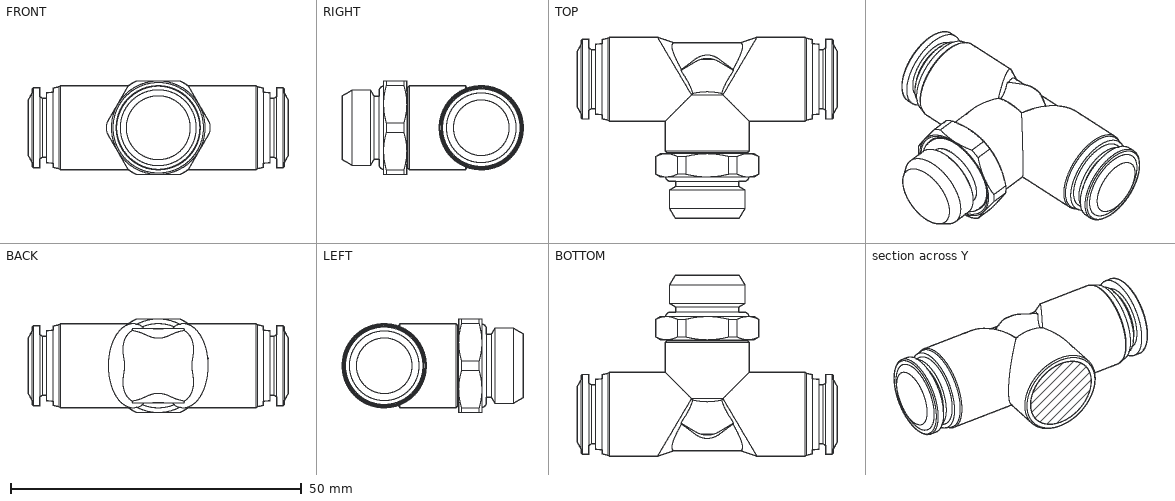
import cadquery as cq
import math

run_length = 44.75
half_run = run_length / 2
body_radius = 7.25

body_end = 16.8
body_taper_end = 17.05
body_taper_radius = 7.05
shoulder_end = 18.05
shoulder_end_radius = 6.85
ring_start_radius = 6.15
ring_end = 19.25
ring_end_radius = 6.05
groove_radius = 5.1
groove_cone_start = 19.9
flange_start = 20.35
groove_cone_radius = 5.35
flange_end = 21.7
flange_radius = 6.9
flange_edge = 0.22
nose_base_radius = 6.0
nose_tip_radius = 4.8

waist_limit_y = -2.7
wall_centre_x = 4.3
wall_slope = 0.59
wall_run = 2.25
floor_radius = 6.3
wall_drop_y = body_radius - floor_radius
wall_drop_z = 2.6
wall_inner_steps = -1.3
wall_outer_steps = 0.6
pad_height = 6.4
pad_corner_x = 4.45
pad_corner_y = 1.55
pad_slope_angle = 31.0
pad_peak_radius = 4.03
pad_depth = 2.7
pad_draft_angle = 20.0

branch_start = 2.15
branch_full = -waist_limit_y
branch_end = 12.6
branch_edge = 0.25
gap_radius = 6.25
hex_start = 12.8
hex_end = 16.8
hex_flats = 16.15
hex_corner_diameter = 17.75
hex_face_radius = 8.05
hex_chamfer_height = 0.5
hex_recess_radius = 7.8
hex_recess_floor_radius = 7.25
hex_recess_depth = 0.55
seal_centre_radius = 6.3
seal_section_radius = 0.9
seal_end = 17.6
neck_radius = 5.45
neck_end = 18.45
thread_start = 19.05
thread_radius = 6.55
thread_end = 22.2
branch_reach = 23.95
tip_radius = 5.5


def revolve_x(profile):
    """Turn (distance along X, radius) points about the X axis."""
    return cq.Workplane("XY").polyline(profile).close().revolve(360, (0, 0, 0), (1, 0, 0))


def revolve_branch(profile):
    """Turn (distance towards -Y, radius) points about the Y axis."""
    points = [(radius, -distance) for distance, radius in profile]
    return cq.Workplane("XY").polyline(points).close().revolve(360, (0, 0, 0), (0, 1, 0))


def make_arm():
    return revolve_x([
        (0, 0),
        (0, body_radius),
        (body_end, body_radius),
        (body_taper_end, body_taper_radius),
        (shoulder_end, shoulder_end_radius),
        (shoulder_end, ring_start_radius),
        (ring_end, ring_end_radius),
        (ring_end, groove_radius),
        (groove_cone_start, groove_radius),
        (flange_start, groove_cone_radius),
        (flange_start, flange_radius),
        (flange_end - flange_edge, flange_radius),
        (flange_end, flange_radius - flange_edge),
        (flange_end, nose_base_radius),
        (half_run, nose_tip_radius),
        (half_run, 0),
    ])


def make_wall_ellipse(steps, shift=0.0):
    """Slanted upright section of the flaring wall, a number of wall runs out from its brim."""
    centre_x = wall_centre_x + steps * wall_run + shift
    half_y = body_radius + steps * wall_drop_y
    half_z = body_radius + steps * wall_drop_z
    plane = cq.Plane(origin=(centre_x, 0, 0), xDir=(wall_slope, 1, 0), normal=(1, -wall_slope, 0))
    return cq.Workplane(plane).ellipse(half_y * math.hypot(1, wall_slope), half_z).wire().val()


def make_arm_limit():
    """Space that bounds one arm: the slanted flaring wall, then a straight sleeve clear of the arm."""
    foot = make_wall_ellipse(wall_inner_steps)
    mouth = make_wall_ellipse(wall_outer_steps)
    far_mouth = make_wall_ellipse(wall_outer_steps, run_length)
    flare = cq.Solid.makeLoft([foot, mouth], True)
    sleeve = cq.Solid.makeLoft([mouth, far_mouth], True)
    return cq.Workplane(flare).union(cq.Workplane(sleeve))


def make_pad():
    """Flat pad above the waist floor, with a rounded peak towards +Y and drafted sides."""
    slope = math.radians(pad_slope_angle)
    tangent_x = pad_peak_radius * math.sin(slope)
    tangent_y = pad_corner_y + (pad_corner_x - tangent_x) * math.tan(slope)
    peak_y = tangent_y + pad_peak_radius * (1 - math.cos(slope))
    return (
        cq.Workplane("XY", origin=(0, 0, pad_height))
        .moveTo(-pad_corner_x, waist_limit_y)
        .lineTo(pad_corner_x, waist_limit_y)
        .lineTo(pad_corner_x, pad_corner_y)
        .lineTo(tangent_x, tangent_y)
        .threePointArc((0, peak_y), (-tangent_x, tangent_y))
        .lineTo(-pad_corner_x, pad_corner_y)
        .close()
        .extrude(-pad_depth, taper=-pad_draft_angle)
    )


def make_waist_core():
    """Round floor between the arms, with one pad on top and one below."""
    floor = cq.Workplane("YZ").circle(floor_radius).extrude(body_end, both=True)
    pad = make_pad()
    return floor.union(pad).union(pad.mirror("XY"))


def make_run():
    arm = make_arm()
    run = arm.union(arm.mirror("YZ"))
    limit = make_arm_limit()
    waist = (
        cq.Workplane("XY")
        .box(2 * body_end, half_run, run_length, centered=(True, False, True))
        .translate((0, waist_limit_y, 0))
        .cut(limit)
        .cut(limit.mirror("YZ"))
        .cut(make_waist_core())
    )
    return run.cut(waist)


def make_branch():
    return revolve_branch([
        (branch_start, 0),
        (branch_start, pad_height),
        (branch_full, body_radius),
        (branch_end - branch_edge, body_radius),
        (branch_end, body_radius - branch_edge),
        (branch_end, gap_radius),
        (hex_start, gap_radius),
        (hex_start, 0),
    ])


def make_hex():
    corner_diameter = hex_flats / math.cos(math.pi / 6)
    prism = (
        cq.Workplane("XZ", origin=(0, -hex_start, 0))
        .polygon(6, corner_diameter)
        .extrude(hex_end - hex_start)
    )
    blank = revolve_branch([
        (hex_start, 0),
        (hex_start, hex_face_radius),
        (hex_start + hex_chamfer_height, hex_corner_diameter / 2),
        (hex_end - hex_chamfer_height, hex_corner_diameter / 2),
        (hex_end, hex_face_radius),
        (hex_end, 0),
    ])
    recess = revolve_branch([
        (hex_end, 0),
        (hex_end, hex_recess_radius),
        (hex_end - hex_recess_depth, hex_recess_floor_radius),
        (hex_end - hex_recess_depth, 0),
    ])
    return prism.intersect(blank).cut(recess)


def make_seal():
    """Ring of round section seated in the hexagon's recess."""
    return (
        cq.Workplane("XY")
        .center(seal_centre_radius, seal_section_radius - seal_end)
        .circle(seal_section_radius)
        .revolve(360, (-seal_centre_radius, 0, 0), (-seal_centre_radius, 1, 0))
    )


def make_thread():
    return revolve_branch([
        (hex_end - hex_recess_depth, 0),
        (hex_end - hex_recess_depth, neck_radius),
        (neck_end, neck_radius),
        (thread_start, thread_radius),
        (thread_end, thread_radius),
        (branch_reach, tip_radius),
        (branch_reach, 0),
    ])


result = make_run().union(make_branch()).union(make_hex()).union(make_seal()).union(make_thread())